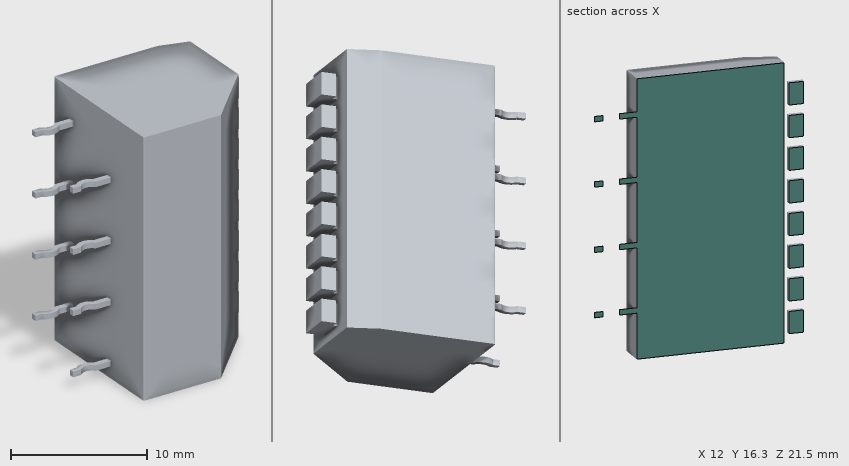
import cadquery as cq
import math

width = 12.0
height = 21.5
depth = 11.48
left_slope_run = 0.69
left_slope_drop = 2.4
right_slope_run = 4.9
right_slope_drop = 4.73
rear_edge_radius = 0.13

pole_count = 8
pole_span = 17.5
pole_pitch = pole_span / (pole_count - 1)

pin_length = 3.31
pin_thickness = 0.45
pin_width = 0.45
pin_bow = 0.3
bow_inner_radius = 0.8
bow_outer_radius = 1.1
bow_from_tip = 1.31
pin_embed = 0.22
first_pin_z = 1.25
left_pin_x = 2.2
right_pin_x = 7.65

button_left = 1.9
button_right = 4.85
button_rise = 1.5
button_height = 1.75
lip_thickness = 1.16
lip_overhang = 0.6
first_button_z = 1.55


def make_housing():
    """Housing with its mounting face at Y = 0."""
    block = (
        cq.Workplane("XY")
        .moveTo(0, 0)
        .lineTo(width, 0)
        .lineTo(width, depth - right_slope_drop)
        .lineTo(width - right_slope_run, depth)
        .lineTo(left_slope_run, depth)
        .lineTo(0, depth - left_slope_drop)
        .close()
        .extrude(height)
    )
    return block.faces("<Y").edges("|Z").fillet(rear_edge_radius)


def make_pin(outer_x, inward, center_z):
    """Pin with its outer face at outer_x; inward is +1 or -1 along X."""
    bow_y = bow_from_tip - pin_length
    inner_half_chord = math.sqrt(bow_inner_radius**2 - (bow_inner_radius - pin_bow) ** 2)
    outer_half_chord = math.sqrt(bow_outer_radius**2 - (bow_outer_radius - pin_bow) ** 2)

    def at(offset, y):
        return (outer_x + inward * offset, y)

    return (
        cq.Workplane("XY", origin=(0, 0, center_z - pin_width / 2))
        .moveTo(*at(0, pin_embed))
        .lineTo(*at(0, bow_y + inner_half_chord))
        .threePointArc(at(pin_bow, bow_y), at(0, bow_y - inner_half_chord))
        .lineTo(*at(0, -pin_length))
        .lineTo(*at(pin_thickness, -pin_length))
        .lineTo(*at(pin_thickness, bow_y - outer_half_chord))
        .threePointArc(at(pin_thickness + pin_bow, bow_y), at(pin_thickness, bow_y + outer_half_chord))
        .lineTo(*at(pin_thickness, pin_embed))
        .close()
        .extrude(pin_width)
    )


def make_button(center_z):
    """Push button standing on the front face, undercut below its lip."""
    top = depth + button_rise
    lip_underside = top - lip_thickness
    return (
        cq.Workplane("XY", origin=(0, 0, center_z - button_height / 2))
        .moveTo(button_left, top)
        .lineTo(button_right, top)
        .lineTo(button_right, depth)
        .lineTo(button_left + lip_overhang, depth)
        .lineTo(button_left + lip_overhang, lip_underside)
        .lineTo(button_left, lip_underside)
        .close()
        .extrude(button_height)
    )


result = make_housing()
for pole in range(pole_count):
    pole_z = pole * pole_pitch
    result = result.union(make_button(first_button_z + pole_z))
    if pole % 2 == 0:
        pin = make_pin(right_pin_x, -1, first_pin_z + pole_z)
    else:
        pin = make_pin(left_pin_x, 1, first_pin_z + pole_z)
    result = result.union(pin)